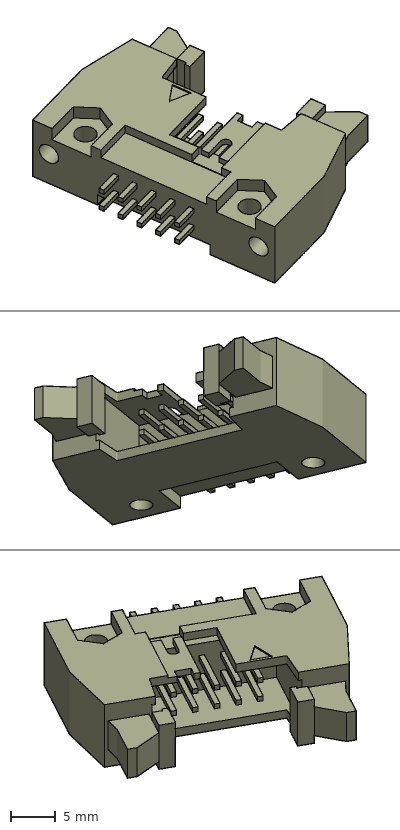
import cadquery as cq
import math


width = 32.3
height = 8.5
tower_length = 17.3
mouth_y = 13.82
taper_start_y = 10.05
tower_outer_x = 14.25
tower_inner_x = 8.3
mouth_half_width = 7.98
mouth_corner_radius = 0.13
top_z = height

cavity_half_width = 8.72
cavity_back_y = 7.35
cavity_wall = 1.13
cavity_top_z = top_z - cavity_wall

key_half_width = 2.07
key_back_y = 6.35
plate_right_x = 5.8
plate_back_y = 6.5
plate_sink = 0.32
channel_left_x = 1.85
channel_depth = 1.03
channel_z = top_z - channel_depth
plate_slot_x = 3.78
plate_slot_width = 1.35
plate_slot_end_y = 9.55
plate_notch_width = 1.95
plate_notch_depth = 1.05

top_recess_width = 14.08
top_recess_depth = cavity_wall
bottom_recess_width = 15.0
bottom_recess_depth = 1.5
recess_length = 4.95

hole_diameter = 2.6
mount_x = 10.95
mount_y = 2.8
nut_width = 5.2
nut_corner_radius = nut_width / math.sqrt(3)
nut_shoulder_y = mount_y + nut_corner_radius / 2
nut_apex_y = mount_y + nut_corner_radius
nut_depth = 1.68
rear_hole_x = 14.0
rear_hole_z = 4.45
rear_hole_depth = 6.45

arrow_x = -5.1
arrow_width = 2.52
arrow_base_y = 13.47
arrow_tip_y = 10.95
arrow_depth = 0.15

pin_columns = 5
pin_rows = 2
pin_pitch = 2.52
pin_size = 0.65
pin_tail_y = -2.95
pin_tip_y = 13.47

latch_height = 3.95
latch_inner_x = 9.05
latch_outer_x = 13.3
latch_top_x = 12.18
latch_tip_y = 23.25
latch_bend_y = 19.25
latch_root_x = 13.8
hook_height = 5.98
hook_inner_x = 7.1
hook_front_y = 21.15
hook_back_y = 18.5
hook_lip_x = 7.82
hook_lip_y = 18.2


def block(x_range, y_range, z_range):
    """Axis-aligned box between the given limits."""
    (x0, x1), (y0, y1), (z0, z1) = x_range, y_range, z_range
    return cq.Workplane("XY").box(x1 - x0, y1 - y0, z1 - z0, centered=False).translate((x0, y0, z0))


def prism(points, z_low, z_high):
    """Closed XY outline extruded between two heights."""
    return cq.Workplane("XY").workplane(offset=z_low).polyline(points).close().extrude(z_high - z_low)


def centred_prism(points, prism_height):
    """Closed XY outline extruded evenly about the middle of the housing height."""
    return prism(points, (height - prism_height) / 2, (height + prism_height) / 2)


def both_sides(shape):
    """The shape together with its mirror image across X = 0."""
    return shape.union(shape.mirror("YZ"))


def make_housing():
    right_side = [
        (width / 2, 0),
        (width / 2, taper_start_y),
        (tower_outer_x, tower_length),
        (tower_inner_x, tower_length),
        (mouth_half_width, mouth_y),
    ]
    left_side = [(-x, y) for x, y in reversed(right_side)]
    mouth_corners = cq.selectors.BoxSelector(
        (-tower_inner_x, mouth_y - mouth_corner_radius, 0),
        (tower_inner_x, mouth_y + mouth_corner_radius, height),
    )
    housing = prism(right_side + left_side, 0, height)
    return housing.edges("|Z").edges(mouth_corners).fillet(mouth_corner_radius)


def make_cavity():
    return block(
        (-cavity_half_width, cavity_half_width),
        (cavity_back_y, tower_length),
        (cavity_wall, cavity_top_z),
    )


def make_slots():
    """Key slot and round-ended plate slot: open into the cavity, floored behind it."""
    key_slot = block((-key_half_width, key_half_width), (key_back_y, mouth_y), (cavity_top_z, top_z))
    slot_radius = plate_slot_width / 2
    slot_centre_y = plate_slot_end_y - slot_radius
    slot_left = plate_slot_x - slot_radius
    slot_right = plate_slot_x + slot_radius
    plate_slot = (
        cq.Workplane("XY")
        .workplane(offset=cavity_top_z)
        .moveTo(slot_left, plate_back_y)
        .lineTo(slot_left, slot_centre_y)
        .threePointArc((plate_slot_x, plate_slot_end_y), (slot_right, slot_centre_y))
        .lineTo(slot_right, plate_back_y)
        .close()
        .extrude(cavity_wall)
    )
    floor = block((-key_half_width, plate_right_x), (key_back_y, cavity_back_y), (cavity_top_z, channel_z))
    return key_slot.union(plate_slot).cut(floor)


def make_plate_cuts():
    """Sunken plate face, the channel behind it and the notch in its front edge."""
    face = block((key_half_width, plate_right_x), (plate_back_y, mouth_y), (top_z - plate_sink, top_z))
    channel = block((channel_left_x, plate_right_x), (recess_length, plate_back_y), (channel_z, top_z))
    notch = block(
        (plate_slot_x - plate_notch_width / 2, plate_slot_x + plate_notch_width / 2),
        (mouth_y - plate_notch_depth, mouth_y),
        (cavity_top_z, top_z),
    )
    return face.union(channel).union(notch)


def make_rear_recesses():
    upper = block(
        (-top_recess_width / 2, top_recess_width / 2), (0, recess_length), (top_z - top_recess_depth, top_z)
    )
    lower = block(
        (-bottom_recess_width / 2, bottom_recess_width / 2), (0, recess_length), (0, bottom_recess_depth)
    )
    return upper.union(lower)


def make_mounting_cuts():
    """Vertical screw holes with nut pockets, and blind holes in the rear face."""
    screw_hole = cq.Workplane("XY").center(mount_x, mount_y).circle(hole_diameter / 2).extrude(height)
    nut_left = mount_x - nut_width / 2
    nut_right = mount_x + nut_width / 2
    nut_outline = [
        (nut_left, 0),
        (nut_right, 0),
        (nut_right, nut_shoulder_y),
        (mount_x, nut_apex_y),
        (nut_left, nut_shoulder_y),
    ]
    nut_pocket = prism(nut_outline, top_z - nut_depth, top_z)
    rear_hole = (
        cq.Workplane("XZ")
        .center(rear_hole_x, rear_hole_z)
        .circle(hole_diameter / 2)
        .extrude(-rear_hole_depth)
    )
    return both_sides(screw_hole.union(nut_pocket).union(rear_hole))


def make_arrow():
    outline = [
        (arrow_x - arrow_width / 2, arrow_base_y),
        (arrow_x + arrow_width / 2, arrow_base_y),
        (arrow_x, arrow_tip_y),
    ]
    return prism(outline, top_z - arrow_depth, top_z)


def make_latches():
    lever_outline = [
        (latch_inner_x, tower_length),
        (latch_inner_x, hook_front_y),
        (latch_top_x, latch_tip_y),
        (latch_outer_x, latch_tip_y),
        (latch_outer_x, latch_bend_y),
        (latch_root_x, tower_length),
    ]
    hook_outline = [
        (latch_inner_x, hook_front_y),
        (hook_inner_x, hook_front_y),
        (hook_inner_x, hook_lip_y),
        (hook_lip_x, hook_lip_y),
        (hook_lip_x, hook_back_y),
        (latch_inner_x, hook_back_y),
    ]
    lever = centred_prism(lever_outline, latch_height)
    hook = centred_prism(hook_outline, hook_height)
    return both_sides(lever.union(hook))


def make_pins():
    return (
        cq.Workplane("XZ", origin=(0, pin_tail_y, height / 2))
        .rarray(pin_pitch, pin_pitch, pin_columns, pin_rows)
        .rect(pin_size, pin_size)
        .extrude(pin_tail_y - pin_tip_y)
    )


result = (
    make_housing()
    .cut(make_cavity())
    .cut(make_slots())
    .cut(make_plate_cuts())
    .cut(make_rear_recesses())
    .cut(make_mounting_cuts())
    .cut(make_arrow())
    .union(make_latches())
    .union(make_pins())
)